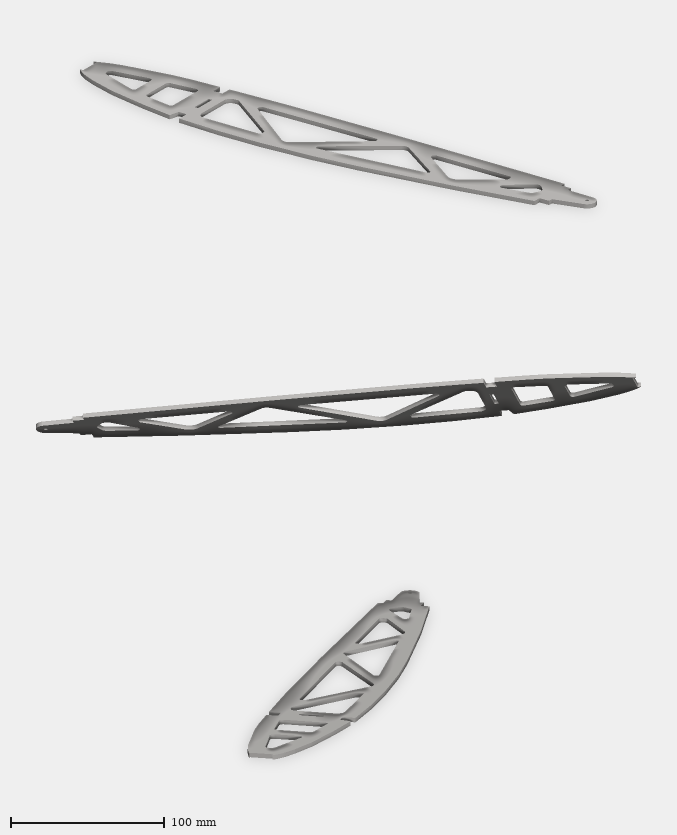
import cadquery as cq
import math

length = 402.0
height = 62.0
thickness = 3.0

upper_skin = [
    (0, 50.0), (12.0, 54.0), (35.0, 58.0), (60.5, 60.7), (92.5, 61.5), (120.5, height),
    (170.5, 61.5), (246.0, 60.0), (326.0, 57.5), (368.0, 56.0),
]
lower_skin = [
    (0, 34.0), (7.2, 28.5), (18.0, 23.5), (35.8, 17.0), (59.5, 11.0), (91.3, 4.5),
    (121.0, 1.4), (163.0, 0), (216.0, 1.8), (266.0, 7.0), (313.5, 13.0), (368.0, 21.5),
]

step_end = 375.5
step_top = 52.3
step_bottom = 27.0
lug_root_top = 48.5
lug_root_bottom = 30.0
lug_radius = 6.5
pin_x = length - lug_radius
pin_y = 41.5
pin_diameter = 2.5
lug_top_tangent = math.radians(80)
lug_bottom_tangent = math.radians(-72)

recess_depth = 2.5
recess_bottom = 34.0
recess_top = 50.0

notch_left = 92.0
notch_right = 99.5
upper_notch_floor = 53.5
lower_notch_floor = 12.0
lower_notch_lean = 1.5
lower_notch_radius = 1.5
notch_overrun = 4.0
slot_left = 97.0
slot_right = 99.7
slot_bottom = 24.5
slot_top = 41.0

windows = [
    [(17.0, 43.5, 2.5), (48.5, 48.0, 3.0), (48.5, 25.0, 2.0), (17.0, 38.0, 3.2)],
    [(59.5, 48.3, 2.0), (83.5, 50.3, 3.0), (83.5, 17.3, 2.0), (59.5, 22.0, 3.0)],
    [(106.5, 50.0, 5.0), (114.5, 50.0, 2.5), (157.5, 17.0, 2.5), (157.5, 12.0, 1.2), (106.5, 13.5, 5.5)],
    [(127.0, 50.0, 2.5), (231.2, 48.3, 2.5), (177.8, 9.2, 5.5)],
    [(194.5, 12.5, 2.0), (247.7, 50.0, 5.0), (287.5, 21.0, 1.5)],
    [(265.5, 47.5, 2.5), (333.5, 46.0, 2.5), (333.5, 41.0, 1.5), (302.5, 19.7, 7.5)],
    [(328.5, 25.7, 2.5), (355.5, 46.5, 5.0), (362.7, 38.5, 3.2), (359.0, 31.0, 3.5)],
]


def lug_point(angle):
    return (pin_x + lug_radius * math.cos(angle), pin_y + lug_radius * math.sin(angle))


def plate():
    """Solid rib inside the outer outline, closed by the straight nose edge."""
    outline = (
        cq.Workplane("XY")
        .moveTo(*upper_skin[0])
        .spline(upper_skin[1:], includeCurrent=True)
        .lineTo(upper_skin[-1][0], step_top)
        .lineTo(step_end, step_top)
        .lineTo(step_end, lug_root_top)
        .lineTo(*lug_point(lug_top_tangent))
        .threePointArc((length, pin_y), lug_point(lug_bottom_tangent))
        .lineTo(step_end, lug_root_bottom)
        .lineTo(step_end, step_bottom)
        .lineTo(lower_skin[-1][0], step_bottom)
        .lineTo(*lower_skin[-1])
        .spline(lower_skin[-2::-1], includeCurrent=True)
        .close()
    )
    return outline.extrude(thickness)


def block(left, right, bottom, top):
    """Cutter through the whole thickness."""
    cutter = cq.Workplane("XY").box(right - left, top - bottom, thickness, centered=False)
    return cutter.translate((left, bottom, 0))


def lower_notch():
    """Notch open at the lower skin, its front wall leaning forward."""
    mouth = -notch_overrun
    corners = [
        (notch_left - 2 * lower_notch_lean, mouth),
        (notch_left + lower_notch_lean / 2, lower_notch_floor),
        (notch_right, lower_notch_floor),
        (notch_right, mouth),
    ]
    notch = cq.Workplane("XY").polyline(corners).close().extrude(thickness)
    return notch.edges("|Z").edges(">X").edges(">Y").fillet(lower_notch_radius)


def toward(start, end, distance):
    """Point at a distance from start on the way to end."""
    fraction = distance / math.dist(start, end)
    return tuple(a + fraction * (b - a) for a, b in zip(start, end))


def corner_arc(before, corner, after, radius):
    """Start, middle and end of the arc that rounds a corner."""
    one_side = toward(corner, before, 4)
    other_side = toward(corner, after, 4)
    half_angle = math.asin(math.dist(one_side, other_side) / 8)
    setback = radius / math.tan(half_angle)
    bisector = ((one_side[0] + other_side[0]) / 2, (one_side[1] + other_side[1]) / 2)
    middle = toward(corner, bisector, radius / math.sin(half_angle) - radius)
    return toward(corner, before, setback), middle, toward(corner, after, setback)


def window(corners):
    """Prism with every upright corner rounded to its own radius."""
    points = [(x, y) for x, y, _ in corners]
    outline = cq.Workplane("XY")
    for i, (x, y, radius) in enumerate(corners):
        following = points[(i + 1) % len(points)]
        start, middle, end = corner_arc(points[i - 1], (x, y), following, radius)
        outline = outline.lineTo(*start) if i else outline.moveTo(*start)
        outline = outline.threePointArc(middle, end)
    return outline.close().extrude(thickness)


rib = plate()
rib = rib.cut(block(0, recess_depth, recess_bottom, recess_top))
rib = rib.cut(block(notch_left, notch_right, upper_notch_floor, height + notch_overrun))
rib = rib.cut(lower_notch())
rib = rib.cut(block(slot_left, slot_right, slot_bottom, slot_top))
for window_corners in windows:
    rib = rib.cut(window(window_corners))
pin_hole = cq.Workplane("XY").center(pin_x, pin_y).circle(pin_diameter / 2).extrude(thickness)
result = rib.cut(pin_hole)